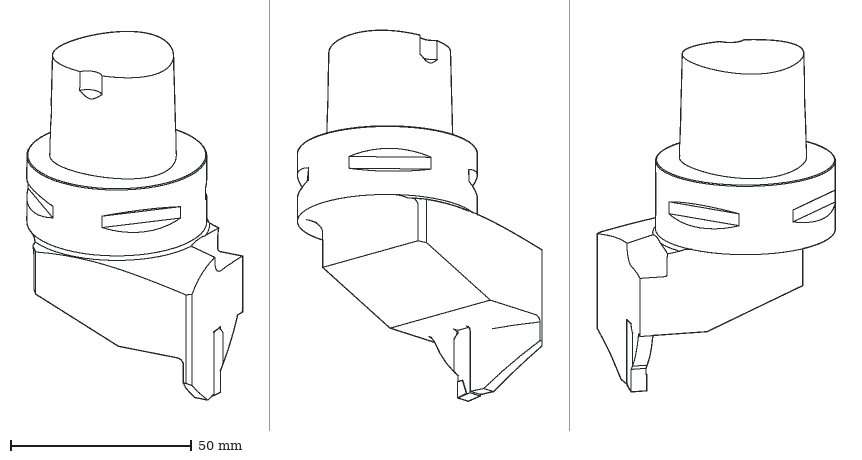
import cadquery as cq
import math


shank_height = 30.0
shank_mean_radius = 17.6
lobe_height = 1.0
shank_taper = 1 / 40
lobe_count = 3
outline_points = 48

notch_radius = 4.1
notch_axis_y = -17.9
notch_depth = 5.6
notch_tip_depth = 3.3

flange_radius = 50.0 / 2
flange_height = 20.0
flange_chamfer = 0.3
slot_count = 4
slot_floor_distance = 22.2
slot_mid_z = -10.0
slot_floor_half_height = 1.7
slot_mouth_half_height = 3.3

head_left_x = -13.4
head_front_y = -26.0
head_back_y = 12.1
head_bottom_z = -45.3
head_left_bottom_z = -33.9
head_slope_end_x = 14.0
head_flare_radius = 3.8
front_left_chamfer = (1.5, 1.8)
front_right_chamfer = 1.2
corner_x = 36.3
collar_radius = 25.7
collar_bottom_z = -21.1
top_slope = math.radians(15)
reach = 57.0

pocket_left_x = 25.4
pocket_front_y = -4.2
pocket_floor_z = -28.5
pocket_floor_radius = 4.2
pocket_side_radius = 0.7

side_arc_center_y = 1.9
outer_face_x = 32.6
outer_face_radius = 97.85
inner_face_x = 28.3
inner_face_radius = 69.35
blade_root_radius = 1.7
blade_tip_z = -63.9
blade_tip_y = -9.3
blade_front_z = -52.4
blade_back_root_y = 9.5
blade_back_mid = (4.8, -53.0)

insert_front_y = -4.8
insert_rake_y = -0.3
insert_back_y = 1.1
insert_edge_z = shank_height - 95
insert_heel_z = -64.4
land_heel_offset = 1.1
insert_back_bottom_z = -57.1
insert_rake_top_z = -58.4
insert_shoulder_z = -47.5
land_top_z = -60.2
land_width = 1.9
land_thickness = 0.2


def shank_section(mean_radius):
    """Closed three-lobed curve with one lobe toward +Y."""
    points = []
    for i in range(outline_points):
        t = 2 * math.pi * i / outline_points
        lobe_angle = (lobe_count - 1) * t
        x = mean_radius * math.sin(t) - lobe_height * math.sin(lobe_angle)
        y = mean_radius * math.cos(t) + lobe_height * math.cos(lobe_angle)
        points.append(cq.Vector(x, y, 0))
    return cq.Wire.assembleEdges([cq.Edge.makeSpline(points, periodic=True)])


def make_shank():
    top_radius = shank_mean_radius - shank_height * shank_taper
    base = shank_section(shank_mean_radius)
    top = shank_section(top_radius).translate(cq.Vector(0, 0, shank_height))
    shank = cq.Workplane(obj=cq.Solid.makeLoft([base, top], True))
    notch = (
        cq.Workplane("XZ")
        .polyline([
            (0, shank_height),
            (notch_radius, shank_height),
            (notch_radius, shank_height - notch_depth),
            (0, shank_height - notch_depth - notch_tip_depth),
        ])
        .close()
        .revolve(360, (0, 0, 0), (0, 1, 0))
        .translate((0, notch_axis_y, 0))
    )
    return shank.cut(notch)


def make_flange():
    flange = (
        cq.Workplane("XY")
        .circle(flange_radius)
        .extrude(-flange_height)
        .faces(">Z")
        .edges()
        .chamfer(flange_chamfer)
    )
    slot = (
        cq.Workplane("XZ")
        .polyline([
            (slot_floor_distance, slot_mid_z - slot_floor_half_height),
            (flange_radius, slot_mid_z - slot_mouth_half_height),
            (flange_radius, slot_mid_z + slot_mouth_half_height),
            (slot_floor_distance, slot_mid_z + slot_floor_half_height),
        ])
        .close()
        .extrude(flange_radius, both=True)
    )
    slot_pitch = 360 / slot_count
    for i in range(slot_count):
        angle = (i + 0.5) * slot_pitch
        flange = flange.cut(slot.rotate((0, 0, 0), (0, 0, 1), angle))
    return flange


def side_cylinder(face_x, radius):
    """Vertical cylinder whose -X side forms a curved face of the blade."""
    return (
        cq.Workplane("XY")
        .center(face_x + radius, side_arc_center_y)
        .circle(radius)
        .extrude(-reach - flange_height)
    )


def head_top_envelope():
    """Collar under the flange, widening into a shallow cone."""
    cone_edge_z = collar_bottom_z - (reach - collar_radius) * math.tan(top_slope)
    floor_z = -reach - flange_height
    return (
        cq.Workplane("XZ")
        .polyline([
            (0, -flange_height),
            (flange_radius, -flange_height),
            (collar_radius, collar_bottom_z),
            (reach, cone_edge_z),
            (reach, floor_z),
            (0, floor_z),
        ])
        .close()
        .revolve(360, (0, 0, 0), (0, 1, 0))
    )


def make_head_block():
    """Block with its left and back faces flared into the flange."""
    flare_left_x = head_left_x - head_flare_radius
    flare_back_y = head_back_y + head_flare_radius
    block = (
        cq.Workplane("XZ", origin=(0, head_back_y, 0))
        .polyline([
            (head_left_x, -flange_height),
            (head_left_x, head_left_bottom_z),
            (head_slope_end_x, head_bottom_z),
            (reach, head_bottom_z),
            (reach, -flange_height),
        ])
        .close()
        .extrude(head_back_y - head_front_y)
    )
    plate_margin = 0.95
    plate = cq.Workplane("XY", origin=(0, 0, -flange_height)).box(
        reach - flare_left_x + plate_margin,
        flare_back_y - head_front_y + plate_margin,
        flange_height / 2,
        centered=False,
    ).translate((flare_left_x - plate_margin, head_front_y, 0))
    block = block.union(plate)
    left_edge = cq.selectors.NearestToPointSelector(
        (head_left_x, (head_front_y + head_back_y) / 2, -flange_height))
    back_edge = cq.selectors.NearestToPointSelector(
        ((head_left_x + reach) / 2, head_back_y, -flange_height))
    block = block.edges(cq.selectors.SumSelector(left_edge, back_edge)).fillet(head_flare_radius)
    return block.intersect(head_top_envelope())


def make_relief_pocket():
    size_x = reach - pocket_left_x
    size_y = reach - pocket_front_y
    return (
        cq.Workplane("XY")
        .box(size_x, size_y, -flange_height - pocket_floor_z, centered=False)
        .edges("<Y and <Z")
        .fillet(pocket_floor_radius)
        .edges("<X and <Z")
        .fillet(pocket_side_radius)
        .translate((pocket_left_x, pocket_front_y, pocket_floor_z))
    )


def make_blade():
    """Blade profile in YZ, bounded on its left by the inner cylinder."""
    profile = (
        cq.Workplane("YZ")
        .moveTo(head_front_y, head_bottom_z)
        .lineTo(head_front_y, blade_front_z)
        .lineTo(blade_tip_y, blade_tip_z)
        .lineTo(insert_front_y, blade_tip_z)
        .lineTo(insert_front_y, insert_back_bottom_z)
        .lineTo(insert_back_y, insert_back_bottom_z)
        .threePointArc(blade_back_mid, (blade_back_root_y, head_bottom_z))
        .close()
        .extrude(reach)
    )
    return profile.intersect(side_cylinder(inner_face_x, inner_face_radius))


def front_corner_chamfers():
    left_x, left_y = front_left_chamfer
    left_start_x = head_left_x - 2 * head_flare_radius
    left_rise = (head_left_x + left_x - left_start_x) * left_y / left_x
    corners = [
        [(left_start_x, head_front_y), (head_left_x + left_x, head_front_y),
         (left_start_x, head_front_y + left_rise)],
        [(corner_x - front_right_chamfer, head_front_y), (reach, head_front_y),
         (reach, head_front_y + reach - corner_x + front_right_chamfer)],
    ]
    cutter = cq.Workplane("XY")
    for corner in corners:
        cutter = cutter.polyline(corner).close()
    return cutter.extrude(-reach - flange_height)


def make_insert_body(thickness_end_x):
    """Insert profile in YZ, from the inner blade face to the given X."""
    shoulder = insert_back_y - insert_rake_y
    return (
        cq.Workplane("YZ", origin=(inner_face_x, 0, 0))
        .polyline([
            (insert_front_y, head_bottom_z),
            (insert_rake_y, head_bottom_z),
            (insert_rake_y, insert_shoulder_z + shoulder),
            (insert_back_y, insert_shoulder_z),
            (insert_back_y, insert_back_bottom_z),
            (insert_rake_y, insert_rake_top_z),
            (insert_rake_y, insert_edge_z),
            (insert_front_y, insert_heel_z),
        ])
        .close()
        .extrude(thickness_end_x - inner_face_x)
    )


def make_insert():
    body = make_insert_body(outer_face_x)
    land = (
        cq.Workplane("YZ", origin=(inner_face_x - land_thickness, 0, 0))
        .moveTo(insert_rake_y, insert_edge_z)
        .lineTo(insert_rake_y, land_top_z)
        .lineTo(insert_rake_y - land_width, land_top_z)
        .lineTo(insert_front_y + land_heel_offset, insert_heel_z)
        .close()
        .extrude(land_thickness)
    )
    return body.union(land)


def make_insert_seat():
    """Opening through the blade, clear of its curved faces and root fillet."""
    return make_insert_body(reach).union(
        make_insert_body(inner_face_x - 2 * blade_root_radius))


def make_holder():
    head = make_head_block().union(make_blade())
    root_edge = cq.selectors.NearestToPointSelector(
        (inner_face_x, (head_front_y + blade_back_root_y) / 2, head_bottom_z))
    head = head.edges(root_edge).fillet(blade_root_radius)
    head = head.cut(side_cylinder(outer_face_x, outer_face_radius))
    head = head.cut(front_corner_chamfers())
    head = head.cut(make_relief_pocket())
    head = head.cut(make_insert_seat())
    return make_shank().union(make_flange()).union(head)


holder = make_holder()
insert = make_insert()
result = cq.Compound.makeCompound([holder.val(), insert.val()])